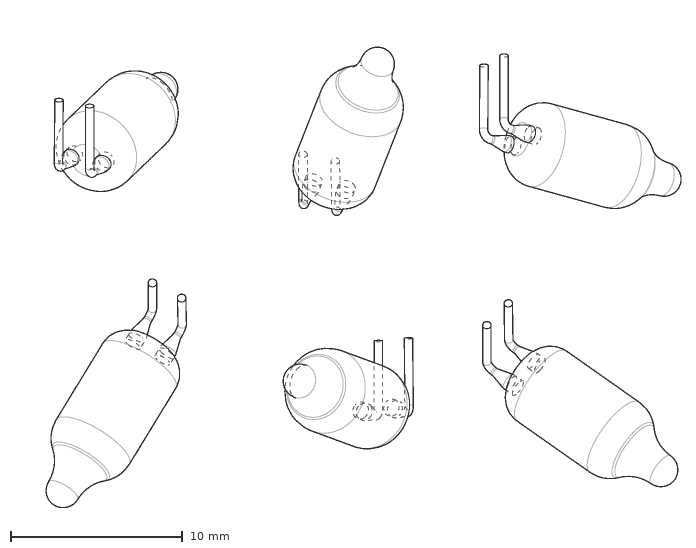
import cadquery as cq
import math


bulb_radius = 5.0 / 2
base_round = 1.5
bulb_length = 11.5
shoulder_start = 7.0
shoulder_radius = 2.0
shoulder_slope_length = 0.16
tip_radius = 2.0 / 2

lead_pitch = 2.0
lead_reach = 13.59 - bulb_length
sleeve_radius = 1.0 / 2
sleeve_length = 0.2
seat_depth = 0.5
cone_length = 1.0
wire_radius = 0.5 / 2
bend_radius = 0.5
wire_top = 7.0 - bulb_radius
lead_tilts = [0.6, 0.0]

cone_end = sleeve_length + cone_length
wire_offset = lead_reach - wire_radius
bend_start = wire_offset - bend_radius

tip_start = bulb_length - tip_radius
nose_length = tip_start - shoulder_start
axis_gap = tip_radius - (bulb_radius - shoulder_radius)
throat_radius = (
    (nose_length**2 + axis_gap**2 - shoulder_radius**2 - shoulder_slope_length**2)
    / (2 * (shoulder_radius - axis_gap))
)
shoulder_center = (bulb_radius - shoulder_radius, shoulder_start)
throat_center = (tip_radius + throat_radius, tip_start)
center_distance = math.hypot(nose_length, throat_radius + axis_gap)
slope_angle = (
    math.atan2(nose_length, throat_radius + axis_gap)
    - math.asin(shoulder_slope_length / center_distance)
)


def arc_point(center, radius, angle):
    """Point (r, y) on an arc, with the angle turning from +r toward +y."""
    return (center[0] + radius * math.cos(angle), center[1] + radius * math.sin(angle))


def lead_frame():
    """Sketch plane on the base face, with its normal pointing out along -Y."""
    return cq.Workplane("XZ")


def make_sleeve(seat_only=False):
    """Round sleeve around the lead axis; seat_only gives just the part inside the bulb."""
    outside = 0 if seat_only else sleeve_length
    return (
        lead_frame()
        .workplane(offset=-seat_depth)
        .circle(sleeve_radius)
        .extrude(seat_depth + outside)
    )


def make_bulb():
    """Solid of revolution with one round seat for each lead sleeve."""
    base_center = (bulb_radius - base_round, base_round)
    profile = (
        cq.Workplane("XY")
        .moveTo(0, 0)
        .lineTo(bulb_radius - base_round, 0)
        .threePointArc(
            arc_point(base_center, base_round, -math.pi / 4),
            (bulb_radius, base_round),
        )
        .lineTo(bulb_radius, shoulder_start)
        .threePointArc(
            arc_point(shoulder_center, shoulder_radius, slope_angle / 2),
            arc_point(shoulder_center, shoulder_radius, slope_angle),
        )
        .lineTo(*arc_point(throat_center, -throat_radius, slope_angle))
        .threePointArc(
            arc_point(throat_center, -throat_radius, slope_angle / 2),
            (tip_radius, tip_start),
        )
        .threePointArc(
            arc_point((0, tip_start), tip_radius, math.pi / 4),
            (0, bulb_length),
        )
        .close()
    )
    bulb = profile.revolve(360, (0, 0, 0), (0, 1, 0))
    for side in (-1, 1):
        seat = make_sleeve(seat_only=True).translate((side * lead_pitch / 2, 0, 0))
        bulb = bulb.cut(seat)
    return bulb


def make_lead(side, tilt):
    """Sleeve, taper and bent wire as one solid, leaning by tilt about the sleeve axis."""
    cone = (
        lead_frame()
        .workplane(offset=sleeve_length)
        .circle(sleeve_radius)
        .workplane(offset=cone_length)
        .circle(wire_radius)
        .loft(ruled=True)
    )
    bend_middle = (
        -bend_start - bend_radius * math.sin(math.pi / 4),
        bend_radius * (1 - math.cos(math.pi / 4)),
    )
    wire_path = (
        cq.Workplane("YZ")
        .moveTo(-cone_end, 0)
        .lineTo(-bend_start, 0)
        .threePointArc(bend_middle, (-wire_offset, bend_radius))
        .lineTo(-wire_offset, wire_top)
    )
    wire = lead_frame().workplane(offset=cone_end).circle(wire_radius).sweep(wire_path)
    lead = make_sleeve().union(cone).union(wire)
    return lead.rotate((0, 0, 0), (0, 1, 0), tilt).translate((side * lead_pitch / 2, 0, 0))


bulb = make_bulb()
leads = [make_lead(side, tilt) for side, tilt in zip((-1, 1), lead_tilts)]

result = cq.Compound.makeCompound([bulb.solids().val(), *[lead.solids().val() for lead in leads]])